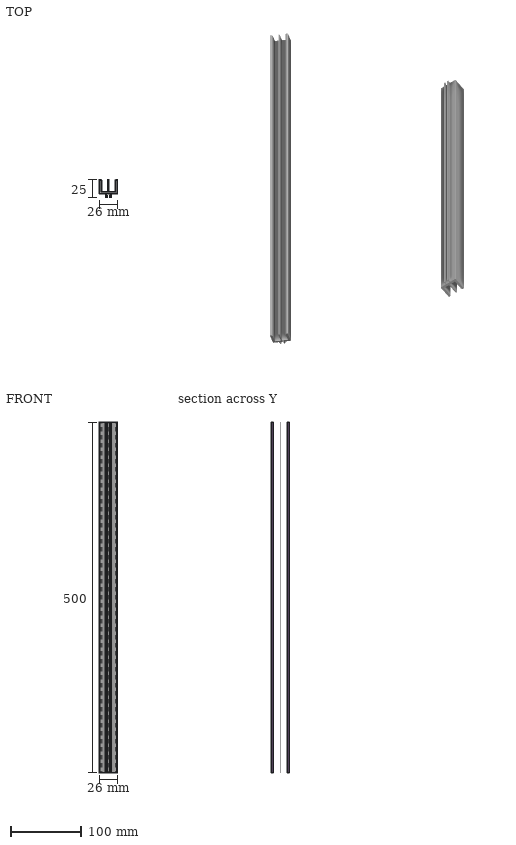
import cadquery as cq

length = 500.0
width = 26.0
depth = 25.0

wall = 3.5
tip_chamfer = 1.5
corner_chamfer = 0.75
floor_bottom = 4.75
floor_thickness = 3.5
floor_top = floor_bottom + floor_thickness
rib_thickness = 1.5

foot_span = 7.5
foot_thickness = 1.0
toe_length = 2.0
toe_height = 2.0
flare_width = 0.5
flare_height = 1.5


def bar(x_min, x_max, y_min, y_max):
    """Full-length rectangular bar with the given section limits."""
    section = cq.Workplane("XY").center((x_min + x_max) / 2, (y_min + y_max) / 2)
    return section.rect(x_max - x_min, y_max - y_min).extrude(length)


def side_wall():
    """Left wall, bevelled on its inner tip and its outer bottom corner."""
    outer = -width / 2
    inner = outer + wall
    points = [
        (outer, floor_bottom + corner_chamfer),
        (outer + corner_chamfer, floor_bottom),
        (inner, floor_bottom),
        (inner, depth - tip_chamfer),
        (inner - tip_chamfer, depth),
        (outer, depth),
    ]
    return cq.Workplane("XY").polyline(points).close().extrude(length)


def foot():
    """Left foot: a thin leg flared outward at its root, with a toe turned toward the centre."""
    outer = -foot_span / 2
    leg_inner = outer + foot_thickness
    toe_tip = outer + toe_length
    points = [
        (outer, 0),
        (toe_tip, 0),
        (toe_tip, toe_height),
        (leg_inner, toe_height),
        (leg_inner, floor_top),
        (outer - flare_width, floor_top),
        (outer - flare_width, floor_bottom),
        (outer, floor_bottom - flare_height),
    ]
    return cq.Workplane("XY").polyline(points).close().extrude(length)


floor_half_width = width / 2 - wall
floor = bar(-floor_half_width, floor_half_width, floor_bottom, floor_top)
rib = bar(-rib_thickness / 2, rib_thickness / 2, floor_bottom, depth)
result = floor.union(rib)

for half in (side_wall(), foot()):
    result = result.union(half).union(half.mirror("YZ"))